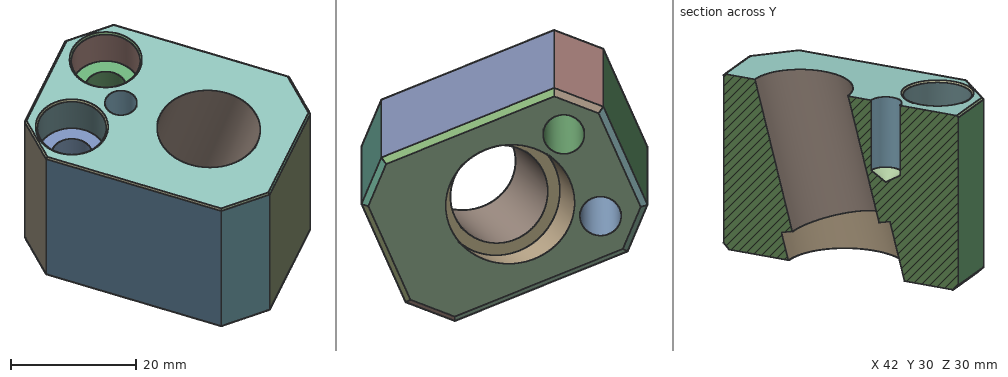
import cadquery as cq
import math

length = 42.0
width = length * 5 / 7
height = width
corner_cut = length / 7
top_chamfer = 0.3
bottom_chamfer = 1.0

screw_x = -13.5
screw_spacing = width / 2
screw_diameter = 6.6
counterbore_diameter = 11.0
counterbore_depth = 6.9
counterbore_chamfer = 0.3

blind_x = -8.0
blind_diameter = 5.12
blind_depth = 12.0
drill_point_angle = 118.0

bore_x = 7.05
bore_diameter = 16.0
bore_tilt = 15.0

seat_diameter = 20.0
seat_depth = 7.4

overrun = 8.4


def make_block():
    block = cq.Workplane("XY").box(length, width, height).edges("|Z").chamfer(corner_cut)
    block = block.faces(">Z").edges().chamfer(top_chamfer)
    return block.faces("<Z").edges().chamfer(bottom_chamfer)


def cut_screw_hole(block, y):
    mouth = cq.Workplane("XY", origin=(screw_x, y, height / 2))
    shank = mouth.circle(screw_diameter / 2).extrude(-height)
    counterbore = mouth.circle(counterbore_diameter / 2).extrude(-counterbore_depth)
    lead_in = cq.Solid.makeCone(
        counterbore_diameter / 2 + counterbore_chamfer,
        counterbore_diameter / 2,
        counterbore_chamfer,
        pnt=cq.Vector(screw_x, y, height / 2),
        dir=cq.Vector(0, 0, -1),
    )
    return block.cut(shank).cut(counterbore).cut(cq.Workplane(lead_in))


def cut_blind_hole(block):
    radius = blind_diameter / 2
    point_depth = radius / math.tan(math.radians(drill_point_angle / 2))
    profile = (
        cq.Workplane("XZ", origin=(blind_x, 0, height / 2))
        .lineTo(radius, 0)
        .lineTo(radius, -blind_depth)
        .lineTo(0, -blind_depth - point_depth)
        .close()
    )
    return block.cut(profile.revolve(360, (0, 0), (0, 1)))


def cut_inclined_bore(block):
    tilt = math.radians(bore_tilt)
    axis = cq.Vector(math.sin(tilt), 0, math.cos(tilt))
    axis_length = height / math.cos(tilt)
    top_centre = cq.Vector(bore_x, 0, height / 2)
    bottom_centre = top_centre - axis * axis_length
    start = bottom_centre - axis * overrun
    bore = cq.Solid.makeCylinder(bore_diameter / 2, axis_length + 2 * overrun, start, axis)
    seat = cq.Solid.makeCylinder(seat_diameter / 2, seat_depth + overrun, start, axis)
    return block.cut(cq.Workplane(bore)).cut(cq.Workplane(seat))


result = make_block()
for side in (-1, 1):
    result = cut_screw_hole(result, side * screw_spacing / 2)
result = cut_blind_hole(result)
result = cut_inclined_bore(result)